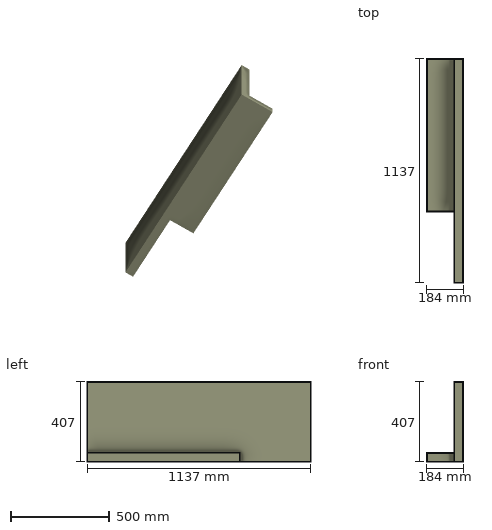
import cadquery as cq

panel_length = 1137.0
panel_height = 407.0
board_thickness = 45.0

overall_depth = 184.0
shelf_length = 775.0
shelf_depth = overall_depth - board_thickness


def corner_board(depth, length, height):
    """Board with its lower corner at the origin, extending along +X, +Y and +Z."""
    return cq.Workplane("XY").box(depth, length, height, centered=False)


panel = corner_board(board_thickness, panel_length, panel_height).translate((shelf_depth, 0, 0))
shelf = corner_board(shelf_depth, shelf_length, board_thickness).translate(
    (0, panel_length - shelf_length, 0)
)

result = panel.union(shelf)